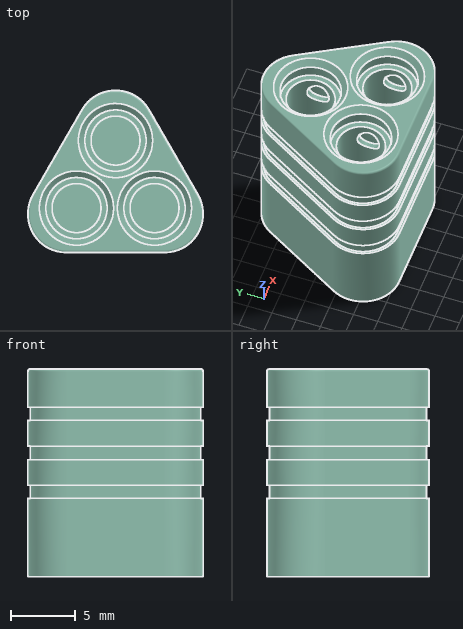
import cadquery as cq
import math

height = 16.12
corner_radius = 3.0
corner_spacing = 7.61
top_edge_radius = 0.2
bottom_edge_radius = 0.1

groove_depth = 0.2
groove_spans = [(6.1, 7.1), (9.09, 10.14), (12.14, 13.14)]

socket_spacing = 6.05
socket_diameter = 4.75
socket_floor = 3.0
countersink_diameter = 5.75
countersink_depth = (countersink_diameter - socket_diameter) / 2

sleeve_bore_diameter = 3.8
sleeve_top = 14.62
side_hole_diameter = 1.8
side_hole_height = 13.07


def triangle_points(spacing):
    """Corners of an equilateral triangle about the origin, one pointing to +Y."""
    reach = spacing / math.sqrt(3)
    angles = [math.radians(90 + 120 * i) for i in range(3)]
    return [(reach * math.cos(a), reach * math.sin(a)) for a in angles]


def rounded_triangle(radius, bottom, top):
    """Prism over the corner triangle grown outward by radius."""
    return (
        cq.Workplane("XY", origin=(0, 0, bottom))
        .polyline(triangle_points(corner_spacing))
        .close()
        .offset2D(radius)
        .extrude(top - bottom)
    )


def make_groove(bottom, top):
    """Band of material to remove around the housing."""
    outside = rounded_triangle(corner_radius + groove_depth, bottom, top)
    return outside.cut(rounded_triangle(corner_radius - groove_depth, bottom, top))


def make_socket(x, y):
    """Blind round socket with a conical mouth."""
    bore = (
        cq.Workplane("XY", origin=(x, y, socket_floor))
        .circle(socket_diameter / 2)
        .extrude(height - socket_floor)
    )
    mouth = cq.Solid.makeCone(
        socket_diameter / 2,
        countersink_diameter / 2,
        countersink_depth,
        pnt=cq.Vector(x, y, height - countersink_depth),
    )
    return bore.union(cq.Workplane(mouth))


def make_housing():
    block = rounded_triangle(corner_radius, 0, height)
    block = block.faces(">Z").edges().fillet(top_edge_radius)
    block = block.faces("<Z").edges().fillet(bottom_edge_radius)
    for bottom, top in groove_spans:
        block = block.cut(make_groove(bottom, top))
    for x, y in triangle_points(socket_spacing):
        block = block.cut(make_socket(x, y))
    return block


def make_sleeve(x, y):
    """Open tube standing on the socket floor, with a round hole through its +X wall."""
    tube = (
        cq.Workplane("XY", origin=(x, y, socket_floor))
        .circle(socket_diameter / 2)
        .circle(sleeve_bore_diameter / 2)
        .extrude(sleeve_top - socket_floor)
    )
    side_hole = (
        cq.Workplane("YZ", origin=(x, y, side_hole_height))
        .circle(side_hole_diameter / 2)
        .extrude(socket_diameter)
    )
    return tube.cut(side_hole)


housing = make_housing()
sleeves = [make_sleeve(x, y) for x, y in triangle_points(socket_spacing)]

result = cq.Compound.makeCompound([housing.val(), *[sleeve.val() for sleeve in sleeves]])